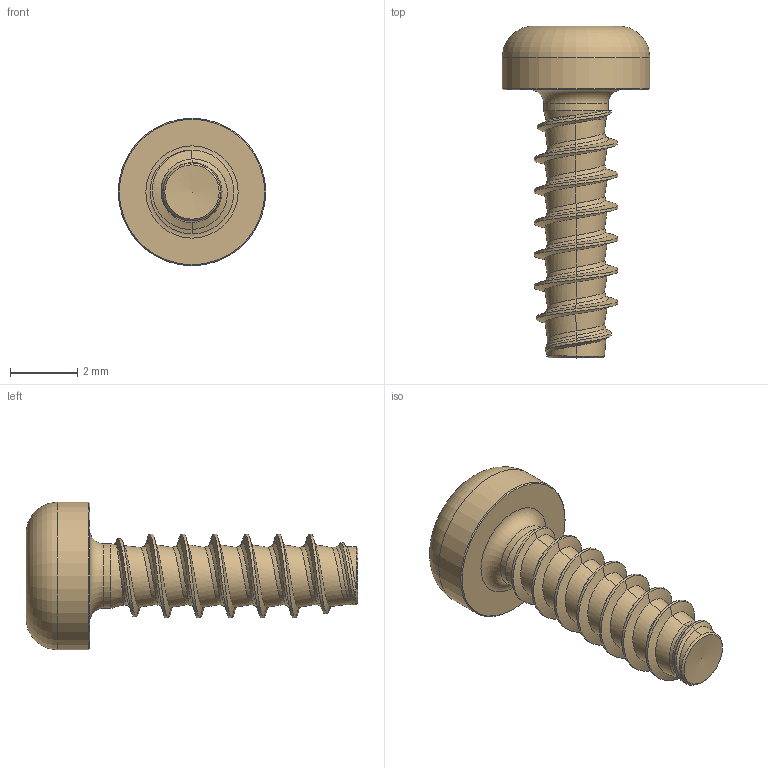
import cadquery as cq
import math


head_radius = 2.2
head_height = 1.9
dome_radius = 0.94
rim_chamfer = 0.03

neck_radius = 0.965
neck_fillet = 0.41
neck_length = 0.63
neck_taper_length = 0.45
neck_taper_end_radius = 0.845

shank_length = 8.0
core_radius = 0.855
crest_radius = 1.25
pitch = 0.95
first_crest_depth = 0.875
lead_in_depth = 0.4
lead_in_radius = 1.0
lead_in_end_depth = 1.5
lead_out_depth = 6.58
lead_out_end_depth = 8.0

crest_half_width = 0.04
flank_foot = 0.11
flank_foot_radius = 0.985
flare_foot = 0.2
flare_foot_radius = 0.885
root_start = 0.33
tip_side_foot = 0.115
tip_side_foot_radius = 0.935

tip_face_radius = 0.81
tip_dimple_depth = 0.055
trim_radius = 1.5 * crest_radius

RADIUS_TOLERANCE = 1e-6


def make_head_and_neck():
    rim_angle = math.radians(45)
    dome_mid = (
        head_radius - dome_radius * (1 - math.cos(rim_angle)),
        head_height - dome_radius * (1 - math.sin(rim_angle)),
    )
    fillet_mid = (
        neck_radius + neck_fillet * (1 - math.cos(rim_angle)),
        -neck_fillet * (1 - math.sin(rim_angle)),
    )
    return (
        cq.Workplane("XZ")
        .moveTo(0, head_height)
        .lineTo(head_radius - dome_radius, head_height)
        .threePointArc(dome_mid, (head_radius, head_height - dome_radius))
        .lineTo(head_radius, rim_chamfer)
        .lineTo(head_radius - rim_chamfer, 0)
        .lineTo(neck_radius + neck_fillet, 0)
        .threePointArc(fillet_mid, (neck_radius, -neck_fillet))
        .lineTo(neck_radius, -neck_length)
        .lineTo(neck_taper_end_radius, -neck_length - neck_taper_length)
        .lineTo(0, -neck_length - neck_taper_length)
        .close()
        .revolve(360, (0, 0), (0, 1))
    )


def make_shank_envelope():
    """Room for the shank: flat at the neck, bevelled at 45 degrees and slightly dimpled at the tip."""
    bevel_start = shank_length - (trim_radius - tip_face_radius)
    return (
        cq.Workplane("XZ")
        .moveTo(0, -neck_length)
        .lineTo(trim_radius, -neck_length)
        .lineTo(trim_radius, -bevel_start)
        .lineTo(tip_face_radius, -shank_length)
        .lineTo(0, -shank_length + tip_dimple_depth)
        .close()
        .revolve(360, (0, 0), (0, 1))
    )


def thread_growth(depth):
    """Share of the full thread height at a depth: 0 on the core, 1 at the full crest radius."""
    lead_in_growth = (lead_in_radius - core_radius) / (crest_radius - core_radius)
    rise = (depth - lead_in_depth) / (lead_in_end_depth - lead_in_depth)
    fall = (lead_out_end_depth - depth) / (lead_out_end_depth - lead_out_depth)
    growing = lead_in_growth + (1 - lead_in_growth) * max(rise, 0)
    return min(growing, max(fall, 0), 1)


def thread_outline(crest_z):
    """One pitch of the thread from head side to tip side, as (radius, z) around a crest."""
    growth = thread_growth(-crest_z)
    full_outline = [
        (core_radius, root_start),
        (flare_foot_radius, flare_foot),
        (flank_foot_radius, flank_foot),
        (crest_radius, crest_half_width),
        (crest_radius, -crest_half_width),
        (tip_side_foot_radius, -tip_side_foot),
        (core_radius, root_start - pitch),
    ]
    return [(core_radius + growth * (radius - core_radius), crest_z + z) for radius, z in full_outline]


def half_turn(start, end, start_angle):
    """Half a turn of helix whose radius changes steadily between two (radius, z) points."""
    start_radius, start_z = start
    growth = end[0] - start_radius
    lead = end[1] - start_z
    if abs(growth) < RADIUS_TOLERANCE:
        helix = cq.Wire.makeHelix(2 * lead, lead, start_radius)
    else:
        slope = math.hypot(growth, lead)
        cone_angle = math.degrees(math.atan2(growth, lead))
        helix = cq.Wire.makeHelix(2 * slope, slope, start_radius, angle=cone_angle)
    turned = helix.rotate(cq.Vector(0, 0, 0), cq.Vector(0, 0, 1), start_angle)
    return turned.translate(cq.Vector(0, 0, start_z)).Edges()[0]


def make_threaded_rod():
    """Closed solid with the thread along it, longer than the shank at both ends."""
    half_turns = 2 * math.ceil(shank_length / pitch)
    lowest_crest = pitch - first_crest_depth - half_turns * pitch / 2
    outlines = [thread_outline(lowest_crest + step * pitch / 2) for step in range(half_turns + 1)]

    faces = []
    for step in range(half_turns):
        start_angle = -90 + 180 * step
        edges = [half_turn(a, b, start_angle) for a, b in zip(outlines[step], outlines[step + 1])]
        faces += [cq.Face.makeRuledSurface(upper, lower) for upper, lower in zip(edges, edges[1:])]

        open_edges = []
        if step < 2:
            open_edges.append((edges[-1], outlines[step][-1][1]))
        if step >= half_turns - 2:
            open_edges.append((edges[0], outlines[step][0][1]))
        for edge, z in open_edges:
            axis = cq.Edge.makeLine(cq.Vector(0, 0, z), cq.Vector(0, 0, z + pitch / 2))
            faces.append(cq.Face.makeRuledSurface(edge, axis))

    for outline in (outlines[0], outlines[-1]):
        top_z = outline[0][1]
        axis_points = [(0, top_z - pitch), (0, top_z - pitch / 2), (0, top_z)]
        corners = [cq.Vector(0, -radius, z) for radius, z in outline + axis_points]
        faces.append(cq.Face.makeFromWires(cq.Wire.makePolygon(corners, close=True)))
    return cq.Workplane(obj=cq.Solid.makeSolid(cq.Shell.makeShell(faces)))


shank = make_threaded_rod().intersect(make_shank_envelope(), clean=False)
screw = make_head_and_neck().union(shank, clean=False)
result = cq.Workplane(obj=screw.val().Solids()[0].rotate(cq.Vector(0, 0, 0), cq.Vector(1, 0, 0), -90))